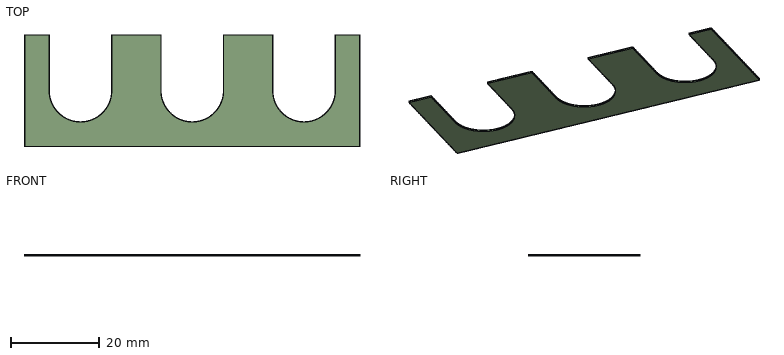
import cadquery as cq

length = 76.2
slot_count = 3
thickness = 0.4
slot_width = 14.2

pitch = length / slot_count
depth = pitch
slot_radius = slot_width / 2
slot_center_y = depth / 2


def slot_cutter(center_x):
    """U-shaped slot, open at the +Y edge of the plate."""
    return (
        cq.Workplane("XY")
        .moveTo(center_x - slot_radius, depth)
        .lineTo(center_x - slot_radius, slot_center_y)
        .threePointArc(
            (center_x, slot_center_y - slot_radius),
            (center_x + slot_radius, slot_center_y),
        )
        .lineTo(center_x + slot_radius, depth)
        .close()
        .extrude(thickness)
    )


result = cq.Workplane("XY").box(length, depth, thickness, centered=False)

for index in range(slot_count):
    result = result.cut(slot_cutter((index + 0.5) * pitch))